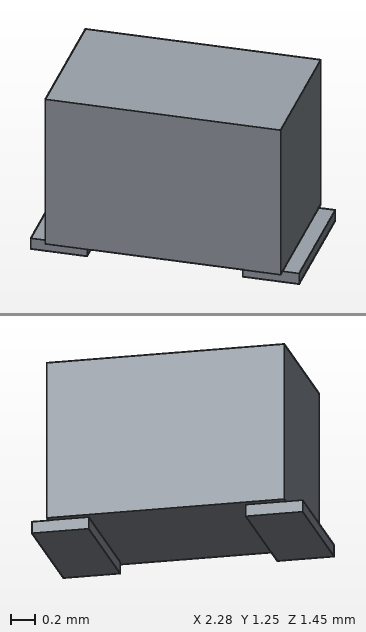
import cadquery as cq

overall_length = 2.28
overall_height = 1.45
body_length = 2.0
body_width = 1.25
pad_length = 0.479
pad_width = 1.126
pad_thickness = 0.1

body_height = overall_height - pad_thickness
pad_center_x = (overall_length - pad_length) / 2


def make_body():
    """Plain block that rests on the tops of the two pads."""
    return (
        cq.Workplane("XY")
        .workplane(offset=pad_thickness)
        .rect(body_length, body_width)
        .extrude(body_height)
    )


def make_pad(center_x):
    """Flat terminal pad with its underside at Z = 0."""
    return (
        cq.Workplane("XY")
        .center(center_x, 0)
        .rect(pad_length, pad_width)
        .extrude(pad_thickness)
    )


body = make_body()
pads = [make_pad(side * pad_center_x) for side in (-1, 1)]

result = cq.Compound.makeCompound([body.val(), *[pad.val() for pad in pads]])